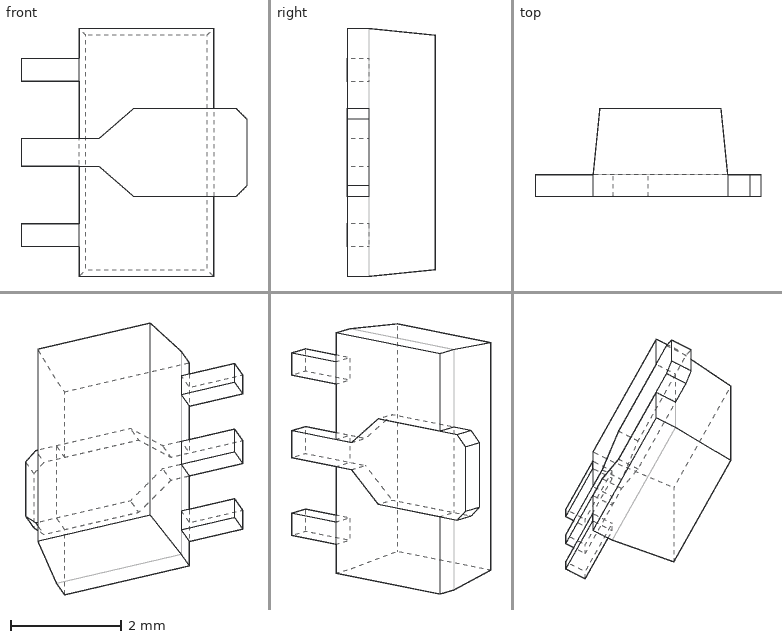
import cadquery as cq

overall_length = 4.09
overall_depth = 1.6
body_height = 4.5

body_width = 2.445
body_setback = 0.005
draft_inset = 0.12

lead_thickness = 0.4
lead_reach = 1.045
side_lead_width = 0.42
lead_pitch = 1.5
center_lead_width = 0.51
tab_width = 1.6
neck_length = 1.41
flare_length = 0.63
tab_chamfer = 0.2

body_left = -body_width / 2
lead_tip = body_left - lead_reach
tab_end = lead_tip + overall_length
flare_start = lead_tip + neck_length
flare_end = flare_start + flare_length


def make_tab():
    """Center lead that flares out into the wide heat tab."""
    half_lead = center_lead_width / 2
    half_tab = tab_width / 2
    upper_edge = [
        (lead_tip, half_lead),
        (flare_start, half_lead),
        (flare_end, half_tab),
        (tab_end - tab_chamfer, half_tab),
        (tab_end, half_tab - tab_chamfer),
    ]
    lower_edge = [(x, -z) for x, z in reversed(upper_edge)]
    return cq.Workplane("XZ").polyline(upper_edge + lower_edge).close().extrude(-lead_thickness)


def make_side_lead(z):
    """Straight lead that butts against the housing side at height z."""
    return cq.Workplane("XY").box(
        lead_reach, lead_thickness, side_lead_width, centered=(False, False, True)
    ).translate((lead_tip, 0, z))


def make_housing(tab):
    """Straight base and drafted back, with a recess that fits the tab."""
    base = (
        cq.Workplane("XZ", origin=(0, body_setback, 0))
        .rect(body_width, body_height)
        .extrude(-(lead_thickness - body_setback))
    )
    drafted_back = (
        cq.Workplane("XZ", origin=(0, lead_thickness, 0))
        .rect(body_width, body_height)
        .workplane(offset=-(overall_depth - lead_thickness))
        .rect(body_width - 2 * draft_inset, body_height - 2 * draft_inset)
        .loft(ruled=True)
    )
    return base.union(drafted_back).cut(tab).solids()


tab = make_tab()
housing = make_housing(tab)
side_leads = []
for side in (-1, 1):
    side_leads.append(make_side_lead(side * lead_pitch))

result = cq.Compound.makeCompound([housing.val(), tab.val(), *[lead.val() for lead in side_leads]])